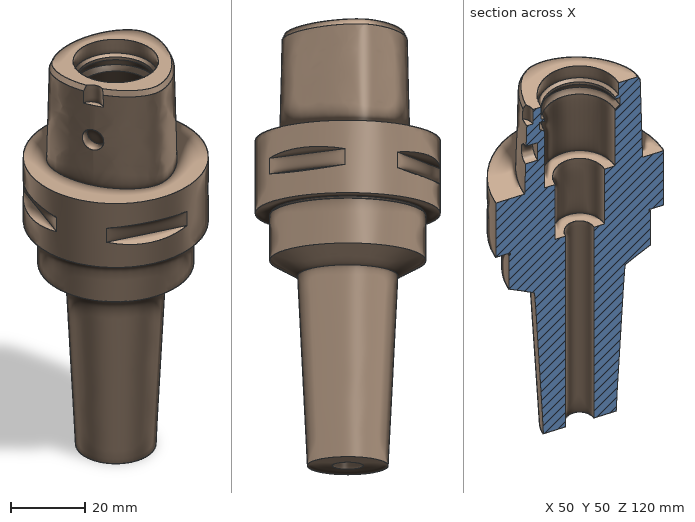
import cadquery as cq
import math

total_height = 120.0
flange_top = 90.0
flange_bottom = 70.0
relief_height = 0.6
collar_bottom = 56.9
nose_top = 52.5

flange_radius = 50.0 / 2
collar_radius = 21.1
relief_radius = 20.8
nose_top_radius = 13.5
nose_end_radius = 10.9

shank_base_radius = 17.6
shank_top_radius = 16.9
lobe_height = 1.14
lobe_points = 36
shank_chamfer = 0.7
shank_chamfer_height = 1.5

mouth_radius = 11.5
mouth_depth = 4.3
bore_radius = 10.5
lip_top_depth = 4.9
lip_bottom_depth = 5.8
groove_radius = 11.9
groove_bottom_depth = 8.2
ledge_depth = 9.4
bore_depth = total_height - flange_top
step_radius = 7.3
step_depth = total_height - flange_bottom
through_radius = 4.2

key_radius = 3.4
key_depth = 5.3
key_center_y = -17.4
pin_radius = 3.1
pin_z = 104.0
pin_floor_y = -12.6

notch_count = 4
notch_first_angle = 45.0
notch_floor_distance = 22.1
notch_floor_width = 4.3
notch_mouth_width = 6.5
notch_z = (flange_top + flange_bottom) / 2


def revolve(profile):
    """Turn a closed (radius, z) outline around the Z axis."""
    return cq.Workplane("XZ").polyline(profile).close().revolve(360, (0, 0), (0, 1))


def lobed_wire(mean_radius, z):
    """Constant-width three-lobed curve with one lobe on +Y."""

    def point(t):
        angle = 2 * math.pi * t
        along = (
            mean_radius * math.cos(angle)
            + 2 * lobe_height * math.cos(2 * angle)
            - lobe_height * math.cos(4 * angle)
        )
        across = (
            mean_radius * math.sin(angle)
            - 2 * lobe_height * math.sin(2 * angle)
            - lobe_height * math.sin(4 * angle)
        )
        return (-across, along, z)

    points = [point(index / lobe_points) for index in range(lobe_points)]
    edge = cq.Edge.makeSpline([cq.Vector(*place) for place in points], periodic=True)
    return cq.Wire.assembleEdges([edge])


def loft_lobed(bottom_radius, bottom_z, top_radius, top_z):
    wires = [lobed_wire(bottom_radius, bottom_z), lobed_wire(top_radius, top_z)]
    return cq.Workplane("XY").newObject([cq.Solid.makeLoft(wires, True)])


def make_body():
    return revolve([
        (0, 0),
        (nose_end_radius, 0),
        (nose_top_radius, nose_top),
        (collar_radius, collar_bottom),
        (collar_radius, flange_bottom - relief_height),
        (relief_radius, flange_bottom - relief_height),
        (relief_radius, flange_bottom),
        (flange_radius, flange_bottom),
        (flange_radius, flange_top),
        (0, flange_top),
    ])


def make_shank():
    chamfer_z = total_height - shank_chamfer_height
    taper = loft_lobed(shank_base_radius, flange_top, shank_top_radius, chamfer_z)
    tip = loft_lobed(shank_top_radius, chamfer_z, shank_top_radius - shank_chamfer, total_height)
    return taper.union(tip)


def make_bore():
    steps = [
        (0, 0),
        (mouth_radius, 0),
        (mouth_radius, mouth_depth),
        (bore_radius, lip_top_depth),
        (bore_radius, lip_bottom_depth),
        (groove_radius, lip_bottom_depth),
        (groove_radius, groove_bottom_depth),
        (bore_radius, ledge_depth),
        (bore_radius, bore_depth),
        (step_radius, bore_depth),
        (step_radius, step_depth),
        (through_radius, step_depth),
        (through_radius, total_height),
        (0, total_height),
    ]
    return revolve([(radius, total_height - depth) for radius, depth in steps])


def make_keyway():
    floor = cq.Workplane("XY", origin=(0, key_center_y, total_height - key_depth))
    return floor.circle(key_radius).extrude(key_depth)


def make_pin_hole():
    """Blind flat-bottomed hole in the -Y side of the shank."""
    floor = cq.Workplane("XZ", origin=(0, pin_floor_y, pin_z))
    return floor.circle(pin_radius).extrude(flange_radius)


def make_notch(angle):
    """Flat-bottomed notch with flared sides, cut along a chord of the flange."""
    outline = [
        (notch_floor_distance, notch_z - notch_floor_width / 2),
        (flange_radius, notch_z - notch_mouth_width / 2),
        (flange_radius, notch_z + notch_mouth_width / 2),
        (notch_floor_distance, notch_z + notch_floor_width / 2),
    ]
    notch = cq.Workplane("XZ").polyline(outline).close().extrude(flange_radius, both=True)
    return notch.rotate((0, 0, 0), (0, 0, 1), angle)


result = make_body().union(make_shank())
result = result.cut(make_bore()).cut(make_keyway()).cut(make_pin_hole())
for index in range(notch_count):
    result = result.cut(make_notch(notch_first_angle + index * 360 / notch_count))